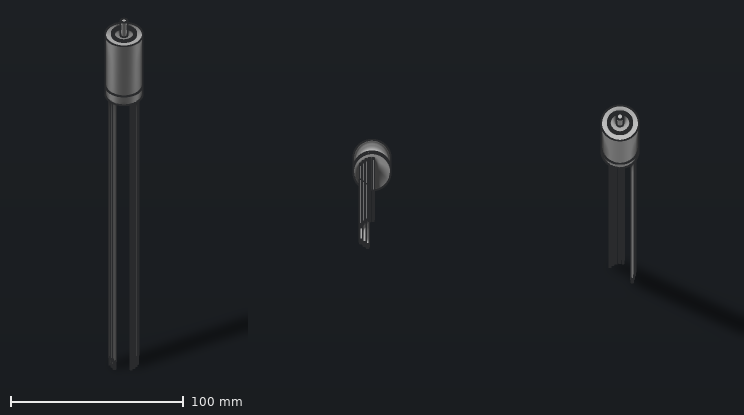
import cadquery as cq
import math

total_length = 254.7

body_diameter = 22.0
body_length = 44.0
rear_cap_length = 6.5
joint_groove_width = 0.3
joint_groove_depth = 0.13

shaft_diameter = 4.0
shaft_length = 10.5
shaft_chamfer = 0.3
pilot_diameter = 14.3
pilot_height = 0.8
pilot_recess_diameter = 13.0
pilot_recess_depth = 0.3
pilot_bore_diameter = 11.7
pilot_bore_depth = 1.3

winding_wire_count = 3
winding_wire_row_y = -8.0
winding_wire_pitch = 2.3
winding_wire_diameter = 2.0
winding_bare_diameter = 1.3
winding_bare_length = 5.5

sensor_wire_count = 5
sensor_wire_circle_radius = 8.0
sensor_wire_pitch_angle = 15.0
sensor_wire_diameter = 1.15
sensor_bare_diameter = 0.9
sensor_bare_length = 5.0

body_top = total_length - shaft_length
body_bottom = body_top - body_length
joint_height = body_bottom + rear_cap_length


def cylinder(diameter, bottom, height, center=(0, 0)):
    """Vertical cylinder standing at the given height."""
    return cq.Workplane("XY", origin=(*center, bottom)).circle(diameter / 2).extrude(height)


def ring(outer_diameter, inner_diameter, bottom, height):
    """Vertical tube centred on the motor axis."""
    return cylinder(outer_diameter, bottom, height).cut(cylinder(inner_diameter, bottom, height))


def motor():
    """Housing with its joint groove, recessed pilot boss and output shaft."""
    housing = cylinder(body_diameter, body_bottom, body_length)
    groove = ring(
        body_diameter,
        body_diameter - 2 * joint_groove_depth,
        joint_height - joint_groove_width / 2,
        joint_groove_width,
    )
    pilot = cylinder(pilot_diameter, body_top, pilot_height)
    pilot_top = body_top + pilot_height
    recess = cylinder(pilot_recess_diameter, pilot_top - pilot_recess_depth, pilot_recess_depth)
    bore_floor = pilot_top - pilot_bore_depth
    bore = cylinder(pilot_bore_diameter, bore_floor, pilot_bore_depth)
    shaft = cylinder(shaft_diameter, bore_floor, total_length - bore_floor).faces(">Z").chamfer(shaft_chamfer)
    return housing.cut(groove).union(pilot).cut(recess).cut(bore).union(shaft)


def wire(center, insulation_diameter, bare_diameter, bare_length):
    """Straight lead hanging from the rear cap down to its bare tip."""
    insulation = cylinder(insulation_diameter, bare_length, body_bottom - bare_length, center)
    return insulation.union(cylinder(bare_diameter, 0, bare_length, center))


result = motor()

for index in range(winding_wire_count):
    offset = (index - (winding_wire_count - 1) / 2) * winding_wire_pitch
    center = (offset, winding_wire_row_y)
    result = result.union(wire(center, winding_wire_diameter, winding_bare_diameter, winding_bare_length))

for index in range(sensor_wire_count):
    angle = math.radians(index * sensor_wire_pitch_angle)
    center = (sensor_wire_circle_radius * math.cos(angle), sensor_wire_circle_radius * math.sin(angle))
    result = result.union(wire(center, sensor_wire_diameter, sensor_bare_diameter, sensor_bare_length))